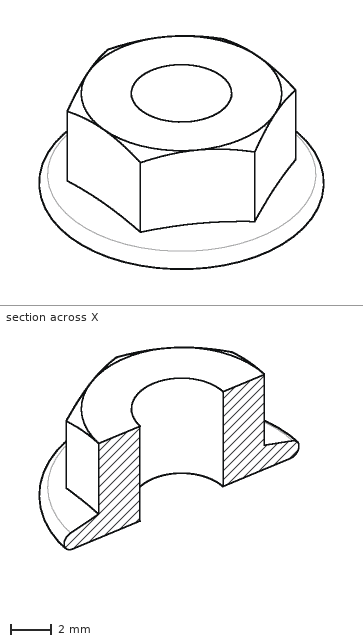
import cadquery as cq
import math

flange_diameter = 14.2
total_height = 6.0
across_flats = 10.0
bore_diameter = 5.0
rim_radius = 0.55
flange_slope = math.radians(15)
chamfer_slope = math.radians(30)

flange_radius = flange_diameter / 2
top_radius = across_flats / 2
corner_radius = top_radius / math.cos(math.radians(30))


def make_flange():
    """Conical flange with a rounded rim tangent to the base and the cone."""
    rim_center = flange_radius - rim_radius
    cone_start_radius = rim_center + rim_radius * math.sin(flange_slope)
    cone_start_height = rim_radius * (1 + math.cos(flange_slope))
    cone_rise = (cone_start_radius - top_radius) * math.tan(flange_slope)
    cone_end_height = cone_start_height + cone_rise
    return (
        cq.Workplane("XZ")
        .lineTo(rim_center, 0)
        .threePointArc((flange_radius, rim_radius), (cone_start_radius, cone_start_height))
        .lineTo(top_radius, cone_end_height)
        .lineTo(0, cone_end_height)
        .close()
        .revolve(360, (0, 0, 0), (0, 1, 0))
    )


def make_hexagon():
    """Hexagonal body, corners on X, with its top corners cut by a cone."""
    prism = cq.Workplane("XY").polygon(6, 2 * corner_radius).extrude(total_height)
    envelope_radius = flange_radius
    shoulder_height = total_height - (envelope_radius - top_radius) * math.tan(chamfer_slope)
    envelope = (
        cq.Workplane("XZ")
        .lineTo(envelope_radius, 0)
        .lineTo(envelope_radius, shoulder_height)
        .lineTo(top_radius, total_height)
        .lineTo(0, total_height)
        .close()
        .revolve(360, (0, 0, 0), (0, 1, 0))
    )
    return prism.intersect(envelope)


bore = cq.Workplane("XY").circle(bore_diameter / 2).extrude(total_height)
result = make_flange().union(make_hexagon()).cut(bore)